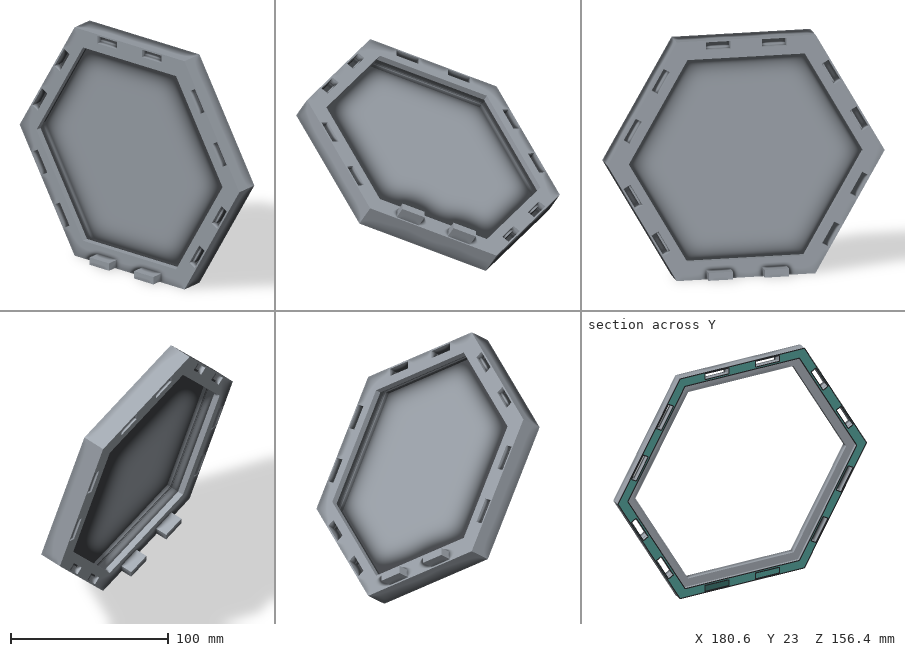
import cadquery as cq
import math

SIDE = 90.3
FRAME_DEPTH = 15.0
APOTHEM = SIDE * math.sqrt(3) / 2
SIDES = 6

LIP_BORDER = 12.0
LIP_END = 4.0
CAVITY_BORDER = 6.5
CAVITY_END = 11.5
STEP_BORDER = 7.0
STEP_END = 12.0
LEDGE_BORDER = 8.1

PANEL_FRONT = 14.3

SOCKET_LENGTH = 15.9
SOCKET_WIDTH = 5.0
SOCKET_GAP = 1.0
SOCKET_DEPTH = 3.0
SOCKET_OFFSET = 18.2
SLOT_WIDTH = 3.8
SLOT_DEPTH = 8.0
DETENT_DEPTH = 5.0
DETENT_RADIUS = 0.81

PEG_REACH = 8.0

SOCKET_OUTER = APOTHEM - SOCKET_GAP


def hexagon(border, front, back):
    """Hexagonal prism, inset by border from the outer sides, between two Y positions."""
    diameter = 2 * (APOTHEM - border) / math.cos(math.pi / SIDES)
    plane = cq.Workplane("XZ", origin=(0, front, 0))
    return plane.polygon(SIDES, diameter).extrude(front - back)


def block(x, width, front, back):
    """Block as long as a socket, hanging down from the outer edge of the socket."""
    solid = cq.Workplane("XY").box(SOCKET_LENGTH, back - front, width)
    return solid.translate((x, (front + back) / 2, SOCKET_OUTER - width / 2))


def socket_shape(x):
    """Shallow mouth, a narrower slot behind it and a round detent at each end of the slot."""
    shape = block(x, SOCKET_WIDTH, 0, SOCKET_DEPTH)
    shape = shape.union(block(x, SLOT_WIDTH, 0, SLOT_DEPTH))
    for end in (-1, 1):
        detent = (
            cq.Workplane("XY", origin=(0, 0, SOCKET_OUTER - SLOT_WIDTH))
            .center(x + end * SOCKET_LENGTH / 2, DETENT_DEPTH)
            .circle(DETENT_RADIUS)
            .extrude(SLOT_WIDTH)
        )
        shape = shape.union(detent)
    return shape


def turned(shape, angle):
    """The shape turned about the Y axis through the centre of the frame."""
    return shape.rotate((0, 0, 0), (0, 1, 0), angle)


def make_frame():
    frame = hexagon(0, 0, FRAME_DEPTH)
    frame = frame.cut(hexagon(LIP_BORDER, 0, LIP_END))
    frame = frame.cut(hexagon(CAVITY_BORDER, LIP_END, CAVITY_END))
    frame = frame.cut(hexagon(STEP_BORDER, CAVITY_END, STEP_END))
    frame = frame.cut(hexagon(LEDGE_BORDER, STEP_END, FRAME_DEPTH))
    for side in range(SIDES):
        for x in (-SOCKET_OFFSET, SOCKET_OFFSET):
            frame = frame.cut(turned(socket_shape(x), side * 360 / SIDES))
    return frame


def make_panel():
    return hexagon(LEDGE_BORDER, PANEL_FRONT, FRAME_DEPTH)


def make_peg(x):
    """Peg that fills a socket of the bottom side and stands out in front of the frame."""
    peg = socket_shape(x).union(block(x, SOCKET_WIDTH, -PEG_REACH, 0))
    return turned(peg, 180)


frame = make_frame()
panel = make_panel()
pegs = [make_peg(x) for x in (-SOCKET_OFFSET, SOCKET_OFFSET)]

result = cq.Compound.makeCompound([frame.val(), panel.val(), *[peg.val() for peg in pegs]])